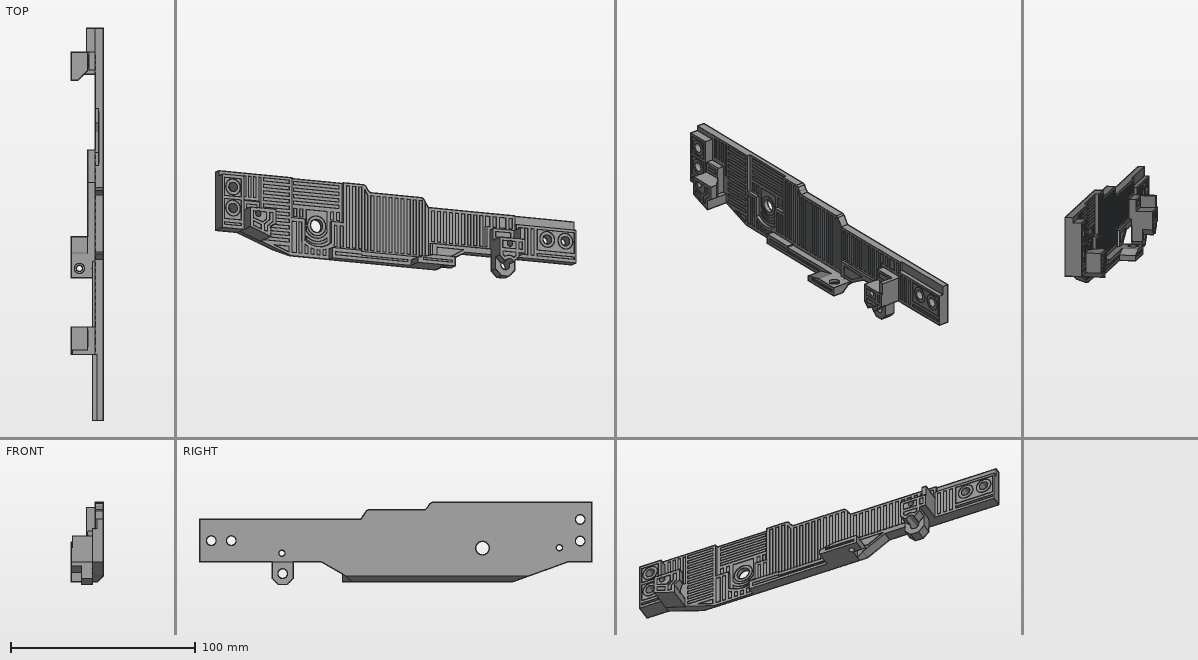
import cadquery as cq

rail_length = 213.0
part_depth = 17.5
rail_top = 44.7
middle_top = 40.7
low_top = 35.5
rail_bottom = 1.5
end_bottom = 12.4
bottom_chamfer = 3.2

plate_face = 13.0
strip_face = 11.5
relief_face = 14.0
recess_face = 15.0
beam_face = 9.0
far_pad_face = 8.3
far_block_face = 9.0
lug_face = 5.5
embed_depth = 13.8

groove_depth = 0.2
land_width = 1.8
groove_pitch = 3.6
groove_width = groove_pitch - land_width

screw_diameter = 5.1
ring_diameter = screw_diameter + 2 * land_width
pin_diameter = 3.2
foot_counterbore_diameter = 5.5
foot_counterbore_depth = 1.7
pivot_diameter = 7.2
pivot_ring_diameter = pivot_diameter + 2 * land_width

near_end = 35.8
near_block_end = 51.0
foot_start = 77.5
foot_end = 100.0
beam_end = 147.0
far_pad_start = 200.0

pivot_y = 153.5
pivot_z = 19.8
recess_start = 138.5
recess_end = 169.3
recess_floor = 22.5
neck_half_width = 7.99
lobe_radius = 12.0

near_block_top = 26.5
near_ledge = 20.0
near_wall = 2.5
lug_start = 39.5
lug_y = (lug_start + near_block_end) / 2
lug_half_width = (near_block_end - lug_start) / 2
lug_hole_z = 6.0
lug_shoulder = 10.0

beam_step_y = 129.3
beam_top = 7.2
foot_top = 6.5
foot_ramp_start = 91.0
foot_ramp_end_z = 4.5
foot_hole_x = 4.5
foot_hole_y = 82.6
overhang_end = 82.6

lower_slope = [(66.0, end_bottom), (79.5, rail_bottom + bottom_chamfer), (overhang_end, rail_bottom)]

hook_tip = 184.7
hook_base = 187.9
hook_top = 23.2
far_block_start = 190.5
far_block_top = 29.2

far_pad_top = 42.0
near_pad_top = 30.5
far_screws = [(206.6, 35.4), (206.6, 23.6)]
near_screws = [(17.3, 23.9), (6.4, 23.9)]
near_pin = (44.7, 17.0)
far_pin = (195.3, 20.0)


def prism(points, x_start, x_end):
    """Extrude a (y, z) outline along X."""
    return cq.Workplane("YZ").workplane(offset=x_start).polyline(points).close().extrude(x_end - x_start)


def block(x_range, y_range, z_range):
    (x0, x1), (y0, y1), (z0, z1) = x_range, y_range, z_range
    return cq.Workplane("XY").box(x1 - x0, y1 - y0, z1 - z0, centered=False).translate((x0, y0, z0))


def rod(center, diameter, x_start=0.0, x_end=part_depth):
    """Cylinder along X through the (y, z) centre."""
    return (
        cq.Workplane("YZ").workplane(offset=x_start).center(*center)
        .circle(diameter / 2).extrude(x_end - x_start)
    )


def groove(face, y_range, z_range):
    return block((face, face + groove_depth), y_range, z_range)


def groove_outline(face, points):
    return prism(points, face, face + groove_depth)


def ringed_pocket(face, y_range, z_range, centers, diameter):
    """Shallow pocket that leaves a raised ring around each hole."""
    pocket = groove(face, y_range, z_range)
    for center in centers:
        pocket = pocket.cut(rod(center, diameter, face, face + groove_depth))
    return pocket


def upright_grooves(face, first_y, count, z_range, pitch=groove_pitch, width=groove_width):
    """Vertical grooves, the first with its upper Y edge at first_y, stepping toward -Y."""
    edges = [first_y - pitch * i for i in range(count)]
    return [groove(face, (y - width, y), z_range) for y in edges]


def level_grooves(face, y_range, first_z, count):
    """Horizontal grooves, the first with its top at first_z, stepping downward."""
    edges = [first_z - groove_pitch * i for i in range(count)]
    return [groove(face, y_range, (z - groove_width, z)) for z in edges]


def cut_all(body, tools):
    for tool in tools:
        body = body.cut(tool)
    return body


def make_plate():
    outline = [
        (0, end_bottom), *lower_slope, (170.0, rail_bottom), (far_pad_start, end_bottom),
        (rail_length, end_bottom), (rail_length, rail_top),
        (126.5, rail_top), (125.0, 44.0), (124.0, 42.2), (122.5, middle_top),
        (91.5, middle_top), (90.5, 40.0), (87.5, low_top), (0, low_top),
    ]
    plate = prism(outline, plate_face, part_depth)
    chamfer = (
        cq.Workplane("XZ")
        .polyline([
            (part_depth - bottom_chamfer, rail_bottom),
            (part_depth, rail_bottom),
            (part_depth, rail_bottom + bottom_chamfer),
        ])
        .close().extrude(-rail_length)
    )
    return plate.cut(chamfer)


def lobe(radius, half_width, top, face, depth):
    """Round area below the pivot, limited in width and in height."""
    disc = rod((pivot_y, pivot_z), 2 * radius, face, face + depth)
    window = block(
        (face, face + depth),
        (pivot_y - half_width, pivot_y + half_width),
        (pivot_z - radius, top),
    )
    return disc.intersect(window)


def make_recess():
    depth_range = (plate_face, recess_face)
    upper = block(depth_range, (recess_start, recess_end), (recess_floor, rail_top))
    neck = block(
        depth_range,
        (pivot_y - neck_half_width, pivot_y + neck_half_width),
        (pivot_z, recess_floor),
    )
    round_end = lobe(lobe_radius, neck_half_width, pivot_z, plate_face, recess_face - plate_face)
    return upper.union(neck).union(round_end)


def plate_grooves():
    top_z = 43.2
    far = upright_grooves(plate_face, 198.0, 3, (31.7, top_z), pitch=3.0, width=1.5)
    far += [groove(plate_face, (187.7, 189.0), (24.3, top_z))]
    far += level_grooves(plate_face, (170.8, 186.2), top_z, 10)
    far += [groove_outline(plate_face, [(180.0, 6.5), (171.0, 6.5), (171.0, 3.5)])]

    low_z = 3.5
    beside = upright_grooves(plate_face, 169.1, 1, (low_z, 20.7), width=2.5)
    beside += upright_grooves(plate_face, 165.0, 5, (low_z, 20.7))
    beside += upright_grooves(plate_face, 144.0, 2, (9.0, 20.7))
    keep = lobe(
        lobe_radius + land_width, neck_half_width + land_width,
        recess_floor, plate_face, groove_depth,
    )
    beside = [bar.cut(keep) for bar in beside]

    row_start = 136.5
    middle = row_start - 3 * groove_pitch
    low = middle - 11 * groove_pitch
    row = upright_grooves(plate_face, row_start, 3, (9.0, top_z))
    row += upright_grooves(plate_face, middle, 11, (8.5, 39.0))
    row.append(
        groove_outline(plate_face, [(middle, 39.0), (middle - groove_width, 39.0), (middle, 42.0)])
    )
    row += upright_grooves(plate_face, low, 9, (16.8, 33.9))

    above_block = (28.1, 33.9)
    near = [groove(plate_face, (52.6, 53.7), (16.8, 28.1))]
    near += [
        groove(plate_face, y_range, above_block)
        for y_range in [(51.0, 53.5), (47.0, 49.0), (41.3, 45.2), (37.5, 39.5)]
    ]
    return far + beside + row + near


def recess_grooves():
    face = recess_face
    grooves = level_grooves(face, (140.2, 167.5), 43.2, 4)
    beside_neck = (23.9, 28.3)
    for offset in (-12.8, -9.2, 9.2, 12.8):
        center = pivot_y + offset
        grooves.append(groove(face, (center - groove_width / 2, center + groove_width / 2), beside_neck))

    half_width = neck_half_width - land_width
    ring_radius = pivot_ring_diameter / 2
    grooves.append(
        ringed_pocket(
            face, (pivot_y - half_width, pivot_y + half_width), (pivot_z, 28.3),
            [(pivot_y, pivot_z)], pivot_ring_diameter,
        )
    )
    outer_radius = lobe_radius - land_width
    arc_width = (outer_radius - ring_radius - land_width) / 2
    for inner in (ring_radius, outer_radius - arc_width):
        ring = lobe(inner + arc_width, half_width, pivot_z - 0.9, face, groove_depth)
        grooves.append(ring.cut(rod((pivot_y, pivot_z), 2 * inner, face, face + groove_depth)))
    return grooves


def make_near_pad():
    pad = block((strip_face, plate_face), (0, near_end), (end_bottom, near_pad_top))
    top_z = 29.0
    pad_grooves = upright_grooves(strip_face, 34.3, 3, (14.3, top_z))
    pad_grooves += [
        ringed_pocket(strip_face, (1.0, 23.2), (17.5, top_z), near_screws, ring_diameter),
        groove(strip_face, (1.0, 23.2), (14.3, 15.5)),
    ]
    return cut_all(pad, pad_grooves)


def make_near_relief():
    return block((plate_face, relief_face), (0, near_end), (near_pad_top, low_top))


def make_near_strip():
    """Thin strip along the lower edge between the near block and the foot."""
    top_z = 15.5
    end_y = 86.7
    bevel = 0.9
    outline = [
        (near_block_end, end_bottom), *lower_slope,
        (end_y, rail_bottom), (end_y, top_z), (near_block_end, top_z),
    ]
    strip = prism(outline, strip_face, plate_face)
    strip = strip.edges("|Z and <X and >Y").chamfer(bevel)
    pocket = [(83.0, 13.6), (67.3, 13.6), (76.3, 8.3), (83.0, 8.3)]
    return strip.cut(groove_outline(strip_face, pocket))


def make_near_block():
    y_range = (near_end, near_block_end)
    body = block((0, embed_depth), y_range, (end_bottom, near_ledge))
    back_wall = block((beam_face, embed_depth), y_range, (near_ledge, near_block_top))
    side_setback = 0.6
    side_wall = block(
        (side_setback, embed_depth), (near_end, near_end + near_wall), (near_ledge, near_block_top)
    )

    lug_chamfer = 3.5
    lug = prism(
        [
            (lug_start, end_bottom), (lug_start, lug_chamfer),
            (lug_start + lug_chamfer, 0), (near_block_end - lug_chamfer, 0),
            (near_block_end, lug_chamfer), (near_block_end, end_bottom),
        ],
        lug_face, strip_face,
    )
    shoulder = prism(
        [
            (lug_start, end_bottom), (lug_start, lug_shoulder),
            (lug_y, lug_shoulder - lug_half_width),
            (near_block_end, lug_shoulder), (near_block_end, end_bottom),
        ],
        0, lug_face,
    )
    pocket_half_width = lug_half_width - land_width
    pocket_shoulder = 10.6
    lug_pocket = groove_outline(0, [
        (lug_y - pocket_half_width, end_bottom),
        (lug_y - pocket_half_width, pocket_shoulder),
        (lug_y, pocket_shoulder - pocket_half_width),
        (lug_y + pocket_half_width, pocket_shoulder),
        (lug_y + pocket_half_width, end_bottom),
    ]).cut(rod((lug_y, lug_hole_z), ring_diameter, 0, groove_depth))
    whole = body.union(back_wall).union(side_wall).union(lug).union(shoulder)
    return cut_all(whole, [
        rod((lug_y, lug_hole_z), screw_diameter),
        groove(beam_face, (40.3, 49.2), (22.0, 25.0)),
        groove(0, (41.3, 49.2), (14.3, 18.3)),
        groove(0, (37.5, 39.5), (14.3, 18.3)),
        lug_pocket,
    ])


def make_beam():
    outline = [
        (foot_start, rail_bottom), (beam_end, rail_bottom), (beam_end, beam_top),
        (beam_step_y, beam_top), (beam_step_y, foot_top), (foot_start, foot_top),
    ]
    beam = prism(outline, beam_face, plate_face)
    overhang = block((strip_face, plate_face), (foot_start, overhang_end), (rail_bottom, foot_top))
    rise = foot_top - rail_bottom
    bevel = (
        cq.Workplane("XZ").workplane(offset=-foot_start)
        .polyline([
            (strip_face - rise, rail_bottom), (strip_face, rail_bottom), (strip_face, foot_top),
        ])
        .close().extrude(foot_start - overhang_end)
    )
    foot = prism(
        [
            (foot_start, rail_bottom), (foot_end, rail_bottom), (foot_end, foot_ramp_end_z),
            (foot_ramp_start, foot_top), (foot_start, foot_top),
        ],
        0, beam_face,
    )
    counterbore_floor = foot_top - foot_counterbore_depth
    hole = (
        cq.Workplane("XY").workplane(offset=rail_bottom).center(foot_hole_x, foot_hole_y)
        .circle(pin_diameter / 2).extrude(foot_top - rail_bottom)
    )
    counterbore = (
        cq.Workplane("XY").workplane(offset=counterbore_floor).center(foot_hole_x, foot_hole_y)
        .circle(foot_counterbore_diameter / 2).extrude(foot_counterbore_depth)
    )
    return cut_all(beam.cut(overhang).union(foot), [
        bevel,
        hole,
        counterbore,
        groove(0, (79.2, 96.5), (3.5, 4.5)),
        groove(beam_face, (101.8, beam_step_y), (3.5, 4.5)),
        groove(beam_face, (beam_step_y, 145.0), (3.5, 5.1)),
    ])


def make_far_pad():
    pad = block((far_pad_face, embed_depth), (far_pad_start, rail_length), (end_bottom, far_pad_top))
    y_range = (201.7, 211.7)
    pad_grooves = [groove(far_pad_face, y_range, (14.3, 15.5))]
    for center, z_range in zip(far_screws, [(30.2, 40.3), (17.5, 28.5)]):
        pad_grooves.append(ringed_pocket(far_pad_face, y_range, z_range, [center], ring_diameter))
    return cut_all(pad, pad_grooves)


def make_far_block():
    bevel = 0.6
    profile = [
        (far_block_face, hook_top), (embed_depth, hook_top), (embed_depth, far_block_top),
        (far_block_face + bevel, far_block_top), (far_block_face, far_block_top - bevel),
    ]
    width = far_pad_start - far_block_start
    body = (
        cq.Workplane("XZ").workplane(offset=-far_block_start)
        .polyline(profile).close().extrude(-width)
    )
    return body.cut(groove(far_block_face, (192.0, 198.3), (25.0, 26.8)))


def make_hook():
    tip_z = 15.5
    base_z = 13.5
    base_bottom = 7.9
    tip_depth = 3.6
    side = [
        (far_pad_start, end_bottom), (far_pad_start, hook_top), (hook_tip, hook_top),
        (hook_tip, tip_z), (hook_base, base_z), (hook_base, base_bottom),
    ]
    body = prism(side, 0, embed_depth)
    step = far_block_start - hook_tip
    corner = (
        cq.Workplane("XY").workplane(offset=base_z)
        .polyline([
            (tip_depth, hook_tip), (tip_depth + step, far_block_start),
            (embed_depth, far_block_start), (embed_depth, hook_tip),
        ])
        .close().extrude(hook_top - base_z)
    )
    pin_pocket = [(198.3, 21.3), (190.5, 21.3), (190.5, 17.5), (192.5, 15.5), (198.3, 17.5)]
    bent_groove = [
        (188.5, 21.3), (186.5, 21.3), (186.5, 16.5), (189.8, 13.6), (189.8, 10.9),
        (191.7, 10.9), (191.7, 14.5), (188.5, 17.3),
    ]
    low_pocket = [(198.3, 15.8), (198.3, 13.5), (193.6, 11.5), (193.6, 14.0)]
    return cut_all(body, [
        corner,
        groove_outline(0, pin_pocket),
        groove_outline(0, low_pocket),
        groove_outline(0, bent_groove),
    ])


result = cut_all(make_plate(), [make_recess(), make_near_relief()] + plate_grooves() + recess_grooves())
for feature in (
    make_near_pad(), make_near_strip(), make_near_block(), make_beam(),
    make_far_pad(), make_far_block(), make_hook(),
):
    result = result.union(feature)

for screw in far_screws + near_screws:
    result = result.cut(rod(screw, screw_diameter))
for pin in (near_pin, far_pin):
    result = result.cut(rod(pin, pin_diameter))
result = result.cut(rod((pivot_y, pivot_z), pivot_diameter))